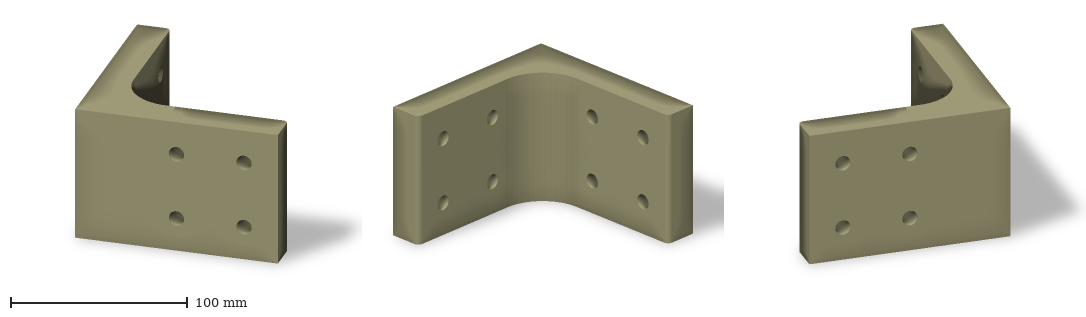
import cadquery as cq

leg_length = 120.0
height = 80.0
thickness = leg_length / 6
inner_radius = 27.5
tip_radius = 3.0

hole_diameter = 9.0
hole_spacing = leg_length / 3
hole_center_along_leg = leg_length * 2 / 3


def bracket_body():
    """L-shaped body with a rounded inner corner and rounded leg tips."""
    body = (
        cq.Workplane("XY")
        .polyline([
            (0, 0),
            (leg_length, 0),
            (leg_length, thickness),
            (thickness, thickness),
            (thickness, leg_length),
            (0, leg_length),
        ])
        .close()
        .extrude(height)
    )
    inner_corner = cq.selectors.NearestToPointSelector((thickness, thickness, height / 2))
    body = body.edges("|Z").edges(inner_corner).fillet(inner_radius)
    for tip in [(leg_length, thickness), (thickness, leg_length)]:
        tip_edge = cq.selectors.NearestToPointSelector((*tip, height / 2))
        body = body.edges("|Z").edges(tip_edge).fillet(tip_radius)
    return body


def bolt_holes(plane, depth):
    """Cylinders for one leg's holes; depth is signed along the plane normal."""
    return (
        cq.Workplane(plane)
        .center(hole_center_along_leg, height / 2)
        .rect(hole_spacing, hole_spacing, forConstruction=True)
        .vertices()
        .circle(hole_diameter / 2)
        .extrude(depth)
    )


hole_depth = thickness + inner_radius
result = (
    bracket_body()
    .cut(bolt_holes("XZ", -hole_depth))
    .cut(bolt_holes("YZ", hole_depth))
)